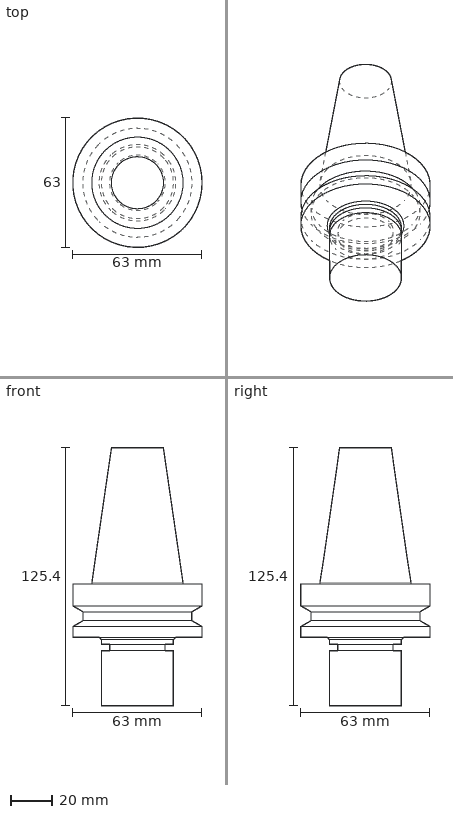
import cadquery as cq

TOTAL_HEIGHT = 125.4

NUT_DIAMETER = 35.0
NUT_HEIGHT = 26.8

NECK_DIAMETER = 27.0
NECK_LENGTH = 3.0
COLLAR_DIAMETER = NUT_DIAMETER
COLLAR_LENGTH = 3.4
COLLAR_FLARE_WIDTH = 1.1
COLLAR_FLARE_HEIGHT = 1.1

FLANGE_DIAMETER = 63.0
LOWER_RIM_HEIGHT = 5.3
UPPER_RIM_HEIGHT = 10.7
GROOVE_DIAMETER = 53.0
GROOVE_FLOOR_HEIGHT = 4.3
GROOVE_SLOPE_HEIGHT = 2.9

SHANK_BASE_DIAMETER = 44.4
SHANK_TOP_DIAMETER = 25.3
SHANK_LAND_HEIGHT = 0.8


def make_nut():
    """Plain cylindrical nut closing the lower end of the holder."""
    return cq.Workplane("XY").circle(NUT_DIAMETER / 2).extrude(NUT_HEIGHT)


def make_holder():
    """Neck, collar, grooved flange and taper revolved as one solid."""
    neck_radius = NECK_DIAMETER / 2
    collar_radius = COLLAR_DIAMETER / 2
    flare_radius = collar_radius + COLLAR_FLARE_WIDTH
    flange_radius = FLANGE_DIAMETER / 2
    groove_radius = GROOVE_DIAMETER / 2
    shank_radius = SHANK_BASE_DIAMETER / 2

    collar_bottom = NUT_HEIGHT + NECK_LENGTH
    flange_bottom = collar_bottom + COLLAR_LENGTH
    groove_bottom = flange_bottom + LOWER_RIM_HEIGHT
    floor_bottom = groove_bottom + GROOVE_SLOPE_HEIGHT
    floor_top = floor_bottom + GROOVE_FLOOR_HEIGHT
    groove_top = floor_top + GROOVE_SLOPE_HEIGHT
    flange_top = groove_top + UPPER_RIM_HEIGHT

    profile = [
        (0, NUT_HEIGHT),
        (neck_radius, NUT_HEIGHT),
        (neck_radius, collar_bottom),
        (collar_radius, collar_bottom),
        (collar_radius, flange_bottom - COLLAR_FLARE_HEIGHT),
        (flare_radius, flange_bottom),
        (flange_radius, flange_bottom),
        (flange_radius, groove_bottom),
        (groove_radius, floor_bottom),
        (groove_radius, floor_top),
        (flange_radius, groove_top),
        (flange_radius, flange_top),
        (shank_radius, flange_top),
        (shank_radius, flange_top + SHANK_LAND_HEIGHT),
        (SHANK_TOP_DIAMETER / 2, TOTAL_HEIGHT),
        (0, TOTAL_HEIGHT),
    ]
    return cq.Workplane("XZ").polyline(profile).close().revolve(360, (0, 0, 0), (0, 1, 0))


nut = make_nut()
holder = make_holder()

result = cq.Compound.makeCompound([nut.val(), holder.val()])